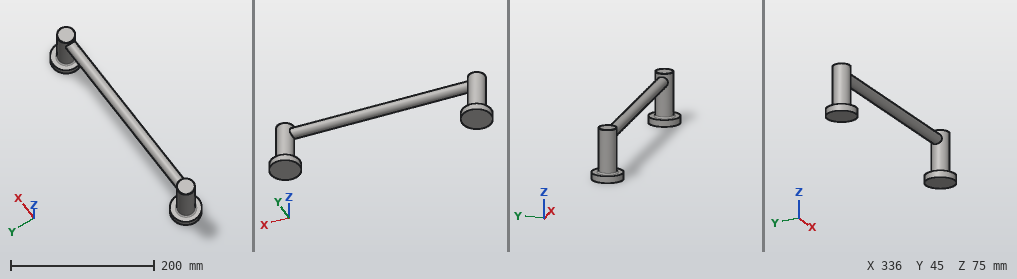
import cadquery as cq

overall_length = 336.0
overall_height = 75.0
flange_diameter = 45.0
flange_height = 10.0
post_diameter = 26.0
post_foot_fillet = 2.0
post_top_chamfer = 0.7
bar_diameter = 16.0
bar_drop = 5.0

post_offset = (overall_length - flange_diameter) / 2
bar_height = overall_height - bar_drop - bar_diameter / 2


def make_post(x):
    """Round post standing on a flange, blended at its foot and chamfered on top."""
    flange = cq.Workplane("XY").circle(flange_diameter / 2).extrude(flange_height)
    column = cq.Workplane("XY").circle(post_diameter / 2).extrude(overall_height)
    post = flange.union(column)
    flange_top_region = cq.selectors.BoxSelector(
        (-post_diameter, -post_diameter, flange_height - post_foot_fillet),
        (post_diameter, post_diameter, flange_height + post_foot_fillet),
    )
    post_foot = post.edges(flange_top_region).edges(cq.selectors.RadiusNthSelector(0))
    post = post_foot.fillet(post_foot_fillet)
    return post.faces(">Z").edges().chamfer(post_top_chamfer).translate((x, 0, 0))


def make_bar(end_posts):
    """Round bar between the posts, its ends hollowed to seat against them."""
    bar = (
        cq.Workplane("YZ", origin=(-post_offset, 0, 0))
        .center(0, bar_height)
        .circle(bar_diameter / 2)
        .extrude(2 * post_offset)
    )
    for post in end_posts:
        bar = bar.cut(post)
    return bar


posts = []
for side in (-1, 1):
    posts.append(make_post(side * post_offset))
bar = make_bar(posts)

result = cq.Compound.makeCompound([*[post.solids().val() for post in posts], bar.solids().val()])